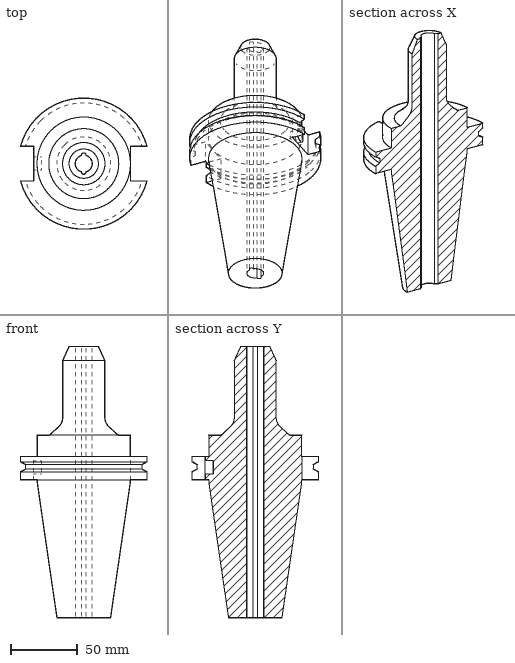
import cadquery as cq
import math

total_height = 203.2

gauge_height = 101.5
gauge_radius = 35.0
taper_slope = 7 / 48
taper_end_radius = gauge_radius - gauge_height * taper_slope

flange_radius = 49.2
flange_bottom = 103.2
flange_top = 121.0
groove_floor_radius = 45.5
groove_flank_height = 2.0
groove_bottom = 109.3
groove_top = 116.8

collar_radius = 35.0
collar_top = 136.8

flare_base_radius = 26.2
flare_edge_radius = 25.2
flare_edge_height = 137.4
nose_radius = 15.8
nose_root_height = 150.2
fillet_radius = 10.0
fillet_angle = math.radians(45)
tip_radius = 11.0
tip_chamfer_height = 10.5

bore_radius = 6.3
coolant_groove_radius = 1.6
coolant_groove_offset = 6.3

slot_width = 25.8
left_slot_floor = 37.5
right_slot_floor = 35.2
drive_hole_diameter = 9.8
drive_hole_depth = 6.0
drive_hole_height = 112.5


def fillet_point(angle):
    """Point on the concave root fillet, turned by angle from its upper end."""
    radius = nose_radius + fillet_radius * (1 - math.cos(angle))
    height = nose_root_height - fillet_radius * math.sin(angle)
    return (radius, height)


def make_body():
    profile = (
        cq.Workplane("XZ")
        .moveTo(0, 0)
        .lineTo(taper_end_radius, 0)
        .lineTo(gauge_radius, gauge_height)
        .lineTo(gauge_radius, flange_bottom)
        .lineTo(flange_radius, flange_bottom)
        .lineTo(flange_radius, groove_bottom)
        .lineTo(groove_floor_radius, groove_bottom + groove_flank_height)
        .lineTo(groove_floor_radius, groove_top - groove_flank_height)
        .lineTo(flange_radius, groove_top)
        .lineTo(flange_radius, flange_top)
        .lineTo(collar_radius, flange_top)
        .lineTo(collar_radius, collar_top)
        .lineTo(flare_base_radius, collar_top)
        .lineTo(flare_edge_radius, flare_edge_height)
        .lineTo(*fillet_point(fillet_angle))
        .threePointArc(fillet_point(fillet_angle / 2), fillet_point(0))
        .lineTo(nose_radius, total_height - tip_chamfer_height)
        .lineTo(tip_radius, total_height)
        .lineTo(0, total_height)
        .close()
    )
    return profile.revolve(360, (0, 0, 0), (0, 1, 0))


def make_bore():
    bore = cq.Workplane("XY").circle(bore_radius).extrude(total_height)
    groove_centers = [(0, coolant_groove_offset), (0, -coolant_groove_offset)]
    grooves = (
        cq.Workplane("XY")
        .pushPoints(groove_centers)
        .circle(coolant_groove_radius)
        .extrude(total_height)
    )
    return bore.union(grooves)


def make_drive_slot(floor_distance, side):
    """Slot cutter through the flange; side is -1 for -X and +1 for +X."""
    depth = flange_radius - floor_distance
    return (
        cq.Workplane("XY", origin=(side * floor_distance, 0, flange_bottom))
        .center(side * depth / 2, 0)
        .rect(depth, slot_width)
        .extrude(flange_top - flange_bottom)
    )


def make_drive_hole():
    return (
        cq.Workplane("YZ", origin=(-left_slot_floor, 0, drive_hole_height))
        .circle(drive_hole_diameter / 2)
        .extrude(drive_hole_depth)
    )


result = (
    make_body()
    .cut(make_bore())
    .cut(make_drive_slot(left_slot_floor, -1))
    .cut(make_drive_slot(right_slot_floor, 1))
    .cut(make_drive_hole())
)